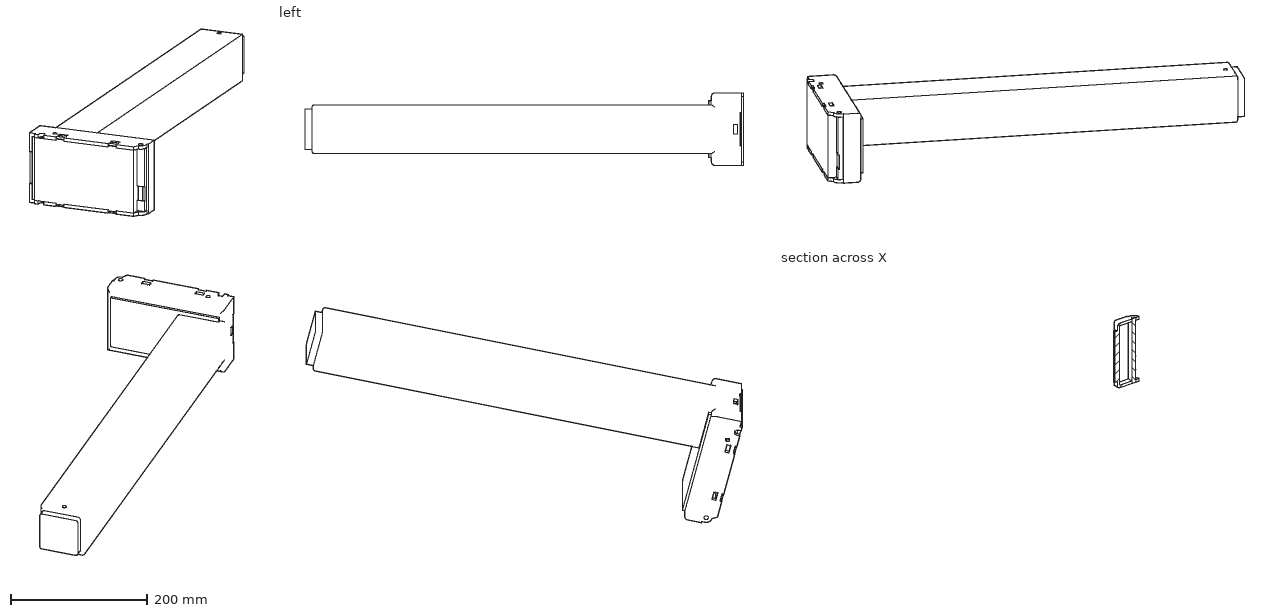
import cadquery as cq
import math


HEAD_WIDTH = 183.0
HEAD_HEIGHT = 107.0
HEAD_REAR = 48.0
HEAD_EDGE_RADIUS = 6.0
WALL = 5.0
SIDE_WALL = 4.5
RIGHT_WALL = 3.0
LEFT_STEP_X = 9.5
LEFT_STEP_DEPTH = 3.0

DOOR_END_X = 168.5
HINGE_X = 173.0
HINGE_Y = 16.0
HINGE_RADIUS = 3.0
CORNER_RADIUS = 8.5
RIGHT_WALL_FRONT = 20.5

RIM_REAR = 51.5
RIM_LEFT = 6.0
RIM_RIGHT = 175.5
RIM_HEIGHT = 84.0

TOTAL_LENGTH = 645.0
TUBE_WIDTH = 69.0
TUBE_HEIGHT = 71.5
TUBE_REAR = 635.0
TUBE_EDGE_RADIUS = 4.0
PLUG_LEFT = 6.0
PLUG_WIDTH = 60.0
PLUG_HEIGHT = 60.0
PLUG_EDGE_RADIUS = 4.0

ROUND_HOLE_X = 35.5
ROUND_HOLE_RADIUS = 2.9
TUBE_HOLE_Y = 622.5
TUBE_HOLE_DEPTH = 4.0
WINDOW_FRONT = 9.0
WINDOW_REAR = 15.0
TAB_LEFT_EDGES = (44.0, 128.0)
TAB_WIDTH = 13.0
TAB_DEPTH = 2.5
TAB_RISE = 2.0
ARCH_X = 20.0
ARCH_RADIUS = 4.5
ARCH_CENTRE_Y = 4.5
SIDE_WINDOW_HEIGHT = 13.5
SIDE_NOTCH_HEIGHT = 49.0
SIDE_NOTCH_DEPTH = 2.5

DOOR_THICKNESS = 4.5
DOOR_HEIGHT = HEAD_HEIGHT - 2 * WALL
HINGE_BAR_FRONT = 13.0
HINGE_BAR_REAR = 20.5
HINGE_BAR_RIGHT = 180.5
LATCH_LEDGE_X = 177.0
LATCH_BOTTOM = -32.0
LATCH_HEIGHT = 22.0
LATCH_DEPTH = 4.0
LATCH_LEDGE_DEPTH = 2.0

CORNER_SIDE = (HINGE_X + CORNER_RADIUS, HINGE_Y)
CORNER_FRONT = (HINGE_X, HINGE_Y - CORNER_RADIUS)
CORNER_MID = (
    HINGE_X + CORNER_RADIUS * math.sqrt(0.5),
    HINGE_Y - CORNER_RADIUS * math.sqrt(0.5),
)


def box(x0, x1, y0, y1, z0, z1):
    """Box between two corner positions."""
    return cq.Workplane("XY").box(x1 - x0, y1 - y0, z1 - z0, centered=False).translate((x0, y0, z0))


def centred_box(x0, x1, y0, y1, height):
    """Box of a given height, centred on Z = 0."""
    return box(x0, x1, y0, y1, -height / 2, height / 2)


def upright_cylinder(x, y, radius, height):
    """Cylinder along Z, centred on Z = 0."""
    return cq.Workplane("XY").center(x, y).circle(radius).extrude(height / 2, both=True)


def head_block():
    """Solid block of the head with the rear edges rounded and the hinge corner cut away."""
    block = centred_box(0, HEAD_WIDTH, 0, HEAD_REAR, HEAD_HEIGHT)
    block = block.faces(">Y").edges().fillet(HEAD_EDGE_RADIUS)
    corner = (
        cq.Workplane("XY")
        .moveTo(DOOR_END_X, 0)
        .lineTo(*CORNER_FRONT)
        .threePointArc(CORNER_MID, CORNER_SIDE)
        .lineTo(CORNER_SIDE[0], RIGHT_WALL_FRONT)
        .lineTo(HEAD_WIDTH, RIGHT_WALL_FRONT)
        .lineTo(HEAD_WIDTH, 0)
        .close()
        .extrude(HEAD_HEIGHT / 2, both=True)
    )
    left_step = centred_box(0, LEFT_STEP_X, 0, LEFT_STEP_DEPTH, HEAD_HEIGHT)
    return block.cut(corner).cut(left_step)


def head_cavity():
    """Inside of the head, open at the front and at the cut-away corner."""
    inside = HEAD_HEIGHT - 2 * WALL
    right_inside = HEAD_WIDTH - RIGHT_WALL
    cavity = centred_box(SIDE_WALL, right_inside, 0, HEAD_REAR - WALL, inside)
    open_corner = centred_box(DOOR_END_X, HEAD_WIDTH, 0, RIGHT_WALL_FRONT, inside)
    return cavity.union(open_corner)


def tube():
    """Long square tube with rounded edges and the smaller plug behind it."""
    body = centred_box(0, TUBE_WIDTH, HEAD_REAR - HEAD_EDGE_RADIUS, TUBE_REAR, TUBE_HEIGHT)
    body = body.edges("(|Y and <X) or >Y").fillet(TUBE_EDGE_RADIUS)
    plug = centred_box(PLUG_LEFT, PLUG_LEFT + PLUG_WIDTH, TUBE_REAR, TOTAL_LENGTH, PLUG_HEIGHT)
    plug = plug.edges("|Y").fillet(PLUG_EDGE_RADIUS)
    hole = (
        cq.Workplane("XY", origin=(ROUND_HOLE_X, TUBE_HOLE_Y, TUBE_HEIGHT / 2))
        .circle(ROUND_HOLE_RADIUS)
        .extrude(-TUBE_HOLE_DEPTH)
    )
    return body.union(plug).cut(hole)


def wall_openings():
    """Holes through the top and bottom walls of the head."""
    openings = upright_cylinder(ROUND_HOLE_X, HINGE_Y, ROUND_HOLE_RADIUS, HEAD_HEIGHT)
    openings = openings.union(upright_cylinder(HINGE_X, HINGE_Y, HINGE_RADIUS, HEAD_HEIGHT))
    openings = openings.union(upright_cylinder(ARCH_X, ARCH_CENTRE_Y, ARCH_RADIUS, HEAD_HEIGHT))
    openings = openings.union(
        centred_box(ARCH_X - ARCH_RADIUS, ARCH_X + ARCH_RADIUS, 0, ARCH_CENTRE_Y, HEAD_HEIGHT)
    )
    for left in TAB_LEFT_EDGES:
        right = left + TAB_WIDTH
        openings = openings.union(centred_box(left, right, WINDOW_FRONT, WINDOW_REAR, HEAD_HEIGHT))
        openings = openings.union(centred_box(left, right, 0, TAB_DEPTH, HEAD_HEIGHT))
    return openings


def left_wall_openings():
    """Latch window and finger notch in the left wall of the head."""
    window = centred_box(0, SIDE_WALL, WINDOW_FRONT, WINDOW_REAR, SIDE_WINDOW_HEIGHT)
    notch_rear = LEFT_STEP_DEPTH + SIDE_NOTCH_DEPTH
    notch = centred_box(0, SIDE_WALL, LEFT_STEP_DEPTH, notch_rear, SIDE_NOTCH_HEIGHT)
    return window.union(notch)


def make_housing():
    """Head, rim and tube in one piece."""
    rim = centred_box(RIM_LEFT, RIM_RIGHT, HEAD_REAR - WALL, RIM_REAR, RIM_HEIGHT)
    shell = head_block().union(rim).union(tube())
    return shell.cut(head_cavity()).cut(wall_openings()).cut(left_wall_openings())


def hinge_bar():
    """Set-back bar at the right end of the door, with the stepped latch pocket."""
    bar_left = DOOR_END_X - DOOR_THICKNESS
    bar = centred_box(bar_left, HINGE_BAR_RIGHT, HINGE_BAR_FRONT, HINGE_BAR_REAR, DOOR_HEIGHT)
    link = centred_box(bar_left, DOOR_END_X, 0, HINGE_BAR_REAR, DOOR_HEIGHT)
    latch_top = LATCH_BOTTOM + LATCH_HEIGHT
    pocket = box(
        DOOR_END_X, LATCH_LEDGE_X,
        HINGE_BAR_FRONT, HINGE_BAR_FRONT + LATCH_DEPTH,
        LATCH_BOTTOM, latch_top,
    )
    ledge = box(
        LATCH_LEDGE_X, HINGE_BAR_RIGHT,
        HINGE_BAR_FRONT, HINGE_BAR_FRONT + LATCH_LEDGE_DEPTH,
        LATCH_BOTTOM, latch_top,
    )
    return bar.union(link).cut(pocket).cut(ledge)


def make_door():
    """Front door with edge tabs and hinge pins."""
    door = centred_box(SIDE_WALL, DOOR_END_X, 0, DOOR_THICKNESS, DOOR_HEIGHT)
    door = door.cut(centred_box(SIDE_WALL, LEFT_STEP_X, 0, LEFT_STEP_DEPTH, DOOR_HEIGHT))
    for left in TAB_LEFT_EDGES:
        tabs = centred_box(left, left + TAB_WIDTH, 0, TAB_DEPTH, DOOR_HEIGHT + 2 * TAB_RISE)
        door = door.union(tabs)
    pins = upright_cylinder(HINGE_X, HINGE_Y, HINGE_RADIUS, HEAD_HEIGHT)
    return door.union(hinge_bar()).union(pins)


housing = make_housing()
door = make_door()
result = cq.Compound.makeCompound([housing.solids().val(), door.solids().val()])